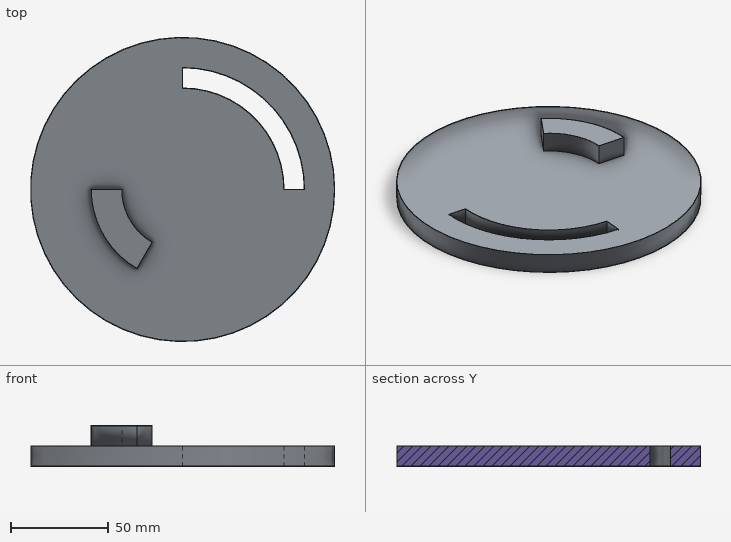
import cadquery as cq
import math

disc_radius = 78.25
disc_thickness = 10.44
boss_height = disc_thickness

slot_inner_radius = 52.2
slot_outer_radius = 62.6
slot_start_angle = 0
slot_end_angle = 90

boss_inner_radius = 31.3
boss_outer_radius = 47.0
boss_start_angle = 180
boss_end_angle = 240


def polar_point(radius, angle):
    """Point at a radius and angle from the disc axis."""
    angle_rad = math.radians(angle)
    return (radius * math.cos(angle_rad), radius * math.sin(angle_rad))


def ring_sector(inner_radius, outer_radius, start_angle, end_angle, base_z, height):
    """Solid ring segment with radial ends, centred on the disc axis."""
    middle_angle = (start_angle + end_angle) / 2
    return (
        cq.Workplane("XY", origin=(0, 0, base_z))
        .moveTo(*polar_point(inner_radius, start_angle))
        .lineTo(*polar_point(outer_radius, start_angle))
        .threePointArc(polar_point(outer_radius, middle_angle), polar_point(outer_radius, end_angle))
        .lineTo(*polar_point(inner_radius, end_angle))
        .threePointArc(polar_point(inner_radius, middle_angle), polar_point(inner_radius, start_angle))
        .close()
        .extrude(height)
    )


disc = cq.Workplane("XY").circle(disc_radius).extrude(disc_thickness)

slot = ring_sector(
    slot_inner_radius, slot_outer_radius, slot_start_angle, slot_end_angle, 0, disc_thickness
)

boss = ring_sector(
    boss_inner_radius, boss_outer_radius, boss_start_angle, boss_end_angle, disc_thickness, boss_height
)

result = disc.cut(slot).union(boss)